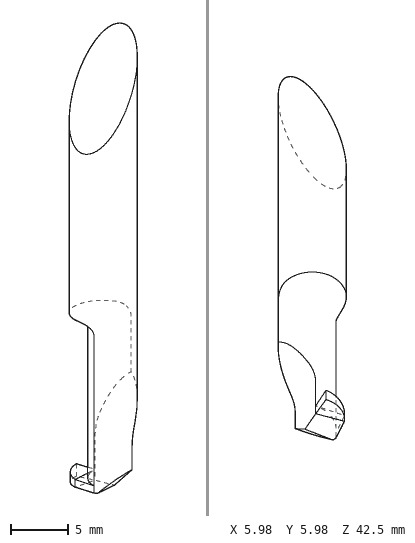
import cadquery as cq
import math

length = 42.45
radius = 2.99
bevel_angle = 60.0

neck_offset = 2.0
shoulder_z = 16.13
shoulder_fillet = 0.997

rake_y = 0.15
slope_start_z = 5.3
slope_angle = 60.0
slope_blend_radius = 4.25

tip_height = 1.2
end_chamfer = 2.0
bottom_relief = 0.2
top_relief = 0.13
side_relief = 0.1
seam_front_x = -1.2

neck_left_x = neck_offset - radius
neck_edge_x = neck_offset / 2
neck_edge_y = -math.sqrt(radius**2 - neck_edge_x**2)
relief_depth = radius + rake_y
seam_front_y = rake_y - math.sqrt(radius**2 - seam_front_x**2)
span = 4 * radius


def extrude_across(profile):
    """Extrude a YZ profile symmetrically along X."""
    return profile.extrude(span / 2, both=True)


def make_upper_shank():
    """Full round shank above the shoulder, with the bevelled end."""
    shank = cq.Workplane("XY").workplane(offset=shoulder_z).circle(radius).extrude(length - shoulder_z)
    bevel_drop = 2 * radius * math.tan(math.radians(bevel_angle))
    bevel = extrude_across(
        cq.Workplane("YZ")
        .moveTo(radius, length)
        .lineTo(-radius, length - bevel_drop)
        .lineTo(-radius, length)
        .close()
    )
    return shank.cut(bevel)


def make_neck():
    """Overlap of the shank cylinder and the offset cylinder, flared at the shoulder."""
    flare_start_z = shoulder_z - shoulder_fillet
    flare_middle = shoulder_fillet * (1 - math.sqrt(0.5))
    offset_column = (
        cq.Workplane("XZ", origin=(neck_offset, 0, 0))
        .lineTo(radius, 0)
        .lineTo(radius, flare_start_z)
        .threePointArc(
            (radius + flare_middle, shoulder_z - flare_middle),
            (radius + shoulder_fillet, shoulder_z),
        )
        .lineTo(0, shoulder_z)
        .close()
        .revolve(360, (0, 0, 0), (0, 1, 0))
    )
    return cq.Workplane("XY").circle(radius).extrude(shoulder_z).intersect(offset_column)


def make_back_cut():
    """Space behind the flat and the blended slope."""
    rise = span * math.tan(math.radians(slope_angle))
    turn = math.radians(90 - slope_angle)
    leg = slope_blend_radius * math.tan(turn / 2)
    sag = slope_blend_radius * (1 - math.cos(turn / 2))
    chord_middle_y = rake_y + leg * math.sin(turn) / 2
    chord_middle_z = slope_start_z + leg * (math.cos(turn) - 1) / 2
    return extrude_across(
        cq.Workplane("YZ")
        .moveTo(rake_y, -0.42)
        .lineTo(rake_y, slope_start_z - leg)
        .threePointArc(
            (
                chord_middle_y - sag * math.cos(turn / 2),
                chord_middle_z + sag * math.sin(turn / 2),
            ),
            (rake_y + leg * math.sin(turn), slope_start_z + leg * math.cos(turn)),
        )
        .lineTo(rake_y + span, slope_start_z + rise)
        .lineTo(rake_y + span, -0.42)
        .close()
    )


def sketch_relief(x, inset):
    """YZ section at x, tapering from the cutting face toward the front."""
    bottom = inset
    top = tip_height - inset
    return (
        cq.Workplane("YZ", origin=(x, 0, 0))
        .moveTo(rake_y, bottom)
        .lineTo(rake_y, top)
        .lineTo(-radius, top - top_relief)
        .lineTo(-radius, bottom + bottom_relief)
        .close()
    )


def make_tip_slab():
    """Relief section that also loses height from the hook end to the neck."""
    hook_section = sketch_relief(-radius, 0).wires().val()
    neck_section = sketch_relief(neck_left_x, side_relief).wires().val()
    return cq.Workplane(cq.Solid.makeLoft([hook_section, neck_section], True))


def make_foot():
    """Base of the neck that carries the tip, with a flat front face."""
    outline = (
        cq.Workplane("XY")
        .moveTo(neck_left_x, rake_y)
        .lineTo(seam_front_x, seam_front_y)
        .lineTo(neck_edge_x, neck_edge_y)
        .lineTo(neck_edge_x, rake_y)
        .close()
        .extrude(tip_height)
    )
    return outline.intersect(extrude_across(sketch_relief(0, side_relief)))


def make_underside_cut():
    """Cutter that slopes the underside of the neck to match the tip."""
    return extrude_across(
        cq.Workplane("YZ")
        .moveTo(rake_y, 0)
        .lineTo(rake_y, side_relief)
        .lineTo(rake_y - span, side_relief + bottom_relief * span / relief_depth)
        .lineTo(rake_y - span, 0)
        .close()
    )


def make_end_chamfer():
    """Wedge that trims the lower +X corner at 45 degrees."""
    return (
        cq.Workplane("XZ")
        .moveTo(radius - end_chamfer, 0)
        .lineTo(radius, end_chamfer)
        .lineTo(radius, 0)
        .close()
        .extrude(span / 2, both=True)
    )


def make_holder():
    """Shank, neck and foot as one solid."""
    neck = make_neck().cut(make_back_cut()).union(make_foot())
    neck = neck.cut(make_underside_cut()).cut(make_end_chamfer())
    return make_upper_shank().union(neck)


def make_cutting_tip():
    """Hooked cutting tip, joined to the foot along a straight seam."""
    middle_angle = math.acos(seam_front_x / -radius) / 2
    outline = (
        cq.Workplane("XY")
        .moveTo(neck_left_x, rake_y)
        .lineTo(-radius, rake_y)
        .threePointArc(
            (-radius * math.cos(middle_angle), rake_y - radius * math.sin(middle_angle)),
            (seam_front_x, seam_front_y),
        )
        .close()
        .extrude(tip_height)
    )
    return outline.intersect(make_tip_slab()).cut(make_neck())


holder = make_holder()
cutting_tip = make_cutting_tip()
result = cq.Compound.makeCompound([holder.val(), cutting_tip.val()])